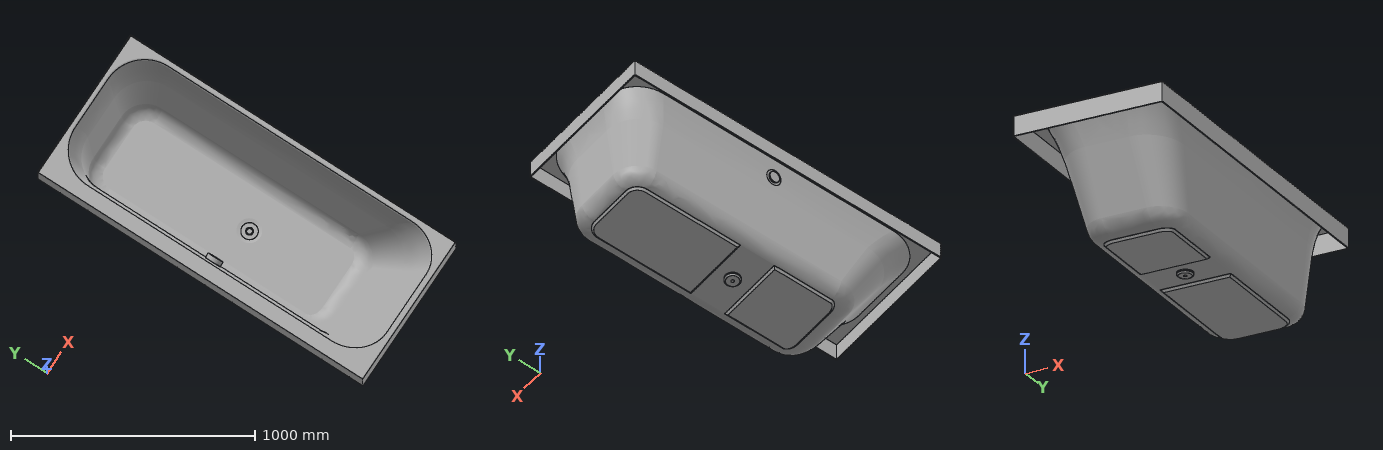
import cadquery as cq
import math

RIM_WIDTH = 701.0
RIM_LENGTH = 1600.0
TOP_Z = 480.0
RIM_HEIGHT = 96.0
RIM_ROUND = 8.0
LIP_ROUND = 13.0
SHELL = 5.0

BASIN_X = 21.0
FLOOR_Z = 16.0
BOWL_TOP_Z = 67.0
FLARE_Z = 328.0

SIDE_WALL = (224.0, 7.6, 20.0)
HEAD_WALL = (696.0, 6.8, 25.0)
FOOT_WALL = (517.0, 29.4, 20.0)

HEAD_CORNER_X = (120.0, 160.0, 176.0)
HEAD_CORNER_Y = (122.0, 162.0, 173.0)
FOOT_CORNER_X = (118.0, 155.0, 150.0)
FOOT_CORNER_Y = (130.0, 166.0, 166.0)

BOWL_SECTIONS = 7
FLARE_SECTIONS = 4

BOARD_BEVEL = 10.0
BOARD_GAP = 176.0
BOARD_THICKNESS = FLOOR_Z - SHELL

DRAIN_DIAMETER = 72.0
DRAIN_TOP_Z = 15.0
DRAIN_BEVEL = 6.0
SINK_DIAMETER = 105.0
SINK_BOTTOM_DIAMETER = 80.0
SINK_DEPTH = 2.0
SCREW_RECESS_DIAMETER = 32.0
SCREW_RECESS_DEPTH = 6.0
SCREW_HEAD_DIAMETER = 24.0
SCREW_HEAD_HEIGHT = 5.0
SCREW_SHANK_DIAMETER = 14.5

OVERFLOW_Z = 402.0
OVERFLOW_TILT = 14.0
CAP_DIAMETER = 72.0
CAP_HEIGHT = 21.0
CAP_SEAT = 2.0
TAIL_DIAMETER = 51.0
TAIL_LENGTH = 10.0


def wall_reach(wall, z, grow):
    """Distance from the basin axis to a wall at height z, with the surface grown outward."""
    reach_at_bowl_top, lean, flare = wall
    lean = math.radians(lean)
    reach = reach_at_bowl_top + grow + (z - BOWL_TOP_Z) * math.tan(lean)
    if z < BOWL_TOP_Z:
        floor_z = FLOOR_Z - grow
        radius = (BOWL_TOP_Z - floor_z) / (1 - math.sin(lean))
        run = math.sqrt(radius ** 2 - (radius - (z - floor_z)) ** 2)
        reach = reach_at_bowl_top + grow - radius * math.cos(lean) + run
    elif z > FLARE_Z:
        reach += flare * ((z - FLARE_Z) / (TOP_Z - FLARE_Z)) ** 2
    return reach


def corner_axis(corner, wall, z, grow):
    """Half-axis of an outline corner at height z, measured along the reach of the given wall."""
    at_bowl_top, at_flare, at_top = corner
    if z < BOWL_TOP_Z:
        inset = wall_reach(wall, BOWL_TOP_Z, grow) - wall_reach(wall, z, grow)
        return at_bowl_top + grow - inset
    if z < FLARE_Z:
        share = (z - BOWL_TOP_Z) / (FLARE_Z - BOWL_TOP_Z)
        return at_bowl_top + (at_flare - at_bowl_top) * share + grow
    share = (z - FLARE_Z) / (TOP_Z - FLARE_Z)
    return at_flare + (at_top - at_flare) * share + grow


def quarter_ellipse(center, x_axis, y_axis, start_angle):
    """Quarter ellipse in a level plane, its axes along X and Y, running counter-clockwise."""
    along_x, along_y, along_z = cq.Vector(1, 0, 0), cq.Vector(0, 1, 0), cq.Vector(0, 0, 1)
    if x_axis >= y_axis:
        return cq.Edge.makeEllipse(
            x_axis, y_axis, center, along_z, along_x, start_angle, start_angle + 90
        )
    return cq.Edge.makeEllipse(
        y_axis, x_axis, center, along_z, along_y, start_angle - 90, start_angle
    )


def basin_outline(z, grow):
    """Closed wire of the basin at height z: a rectangle with quarter-ellipse corners."""
    side = wall_reach(SIDE_WALL, z, grow)
    head = wall_reach(HEAD_WALL, z, grow)
    foot = wall_reach(FOOT_WALL, z, grow)
    head_x = corner_axis(HEAD_CORNER_X, SIDE_WALL, z, grow)
    head_y = corner_axis(HEAD_CORNER_Y, HEAD_WALL, z, grow)
    foot_x = corner_axis(FOOT_CORNER_X, SIDE_WALL, z, grow)
    foot_y = corner_axis(FOOT_CORNER_Y, FOOT_WALL, z, grow)

    left, right = BASIN_X - side, BASIN_X + side
    corners = [
        quarter_ellipse(cq.Vector(right - head_x, head - head_y, z), head_x, head_y, 0),
        quarter_ellipse(cq.Vector(left + head_x, head - head_y, z), head_x, head_y, 90),
        quarter_ellipse(cq.Vector(left + foot_x, foot_y - foot, z), foot_x, foot_y, 180),
        quarter_ellipse(cq.Vector(right - foot_x, foot_y - foot, z), foot_x, foot_y, 270),
    ]
    edges = []
    for corner, following in zip(corners, corners[1:] + corners[:1]):
        edges.append(corner)
        edges.append(cq.Edge.makeLine(corner.endPoint(), following.startPoint()))
    return cq.Wire.assembleEdges(edges)


def basin_solid(grow):
    """Solid inside the basin surface: rounded bowl, flat walls and flare."""
    floor_z = FLOOR_Z - grow
    bowl_steps = [math.radians(90 * i / (BOWL_SECTIONS - 1)) for i in range(BOWL_SECTIONS)]
    bowl_levels = [floor_z + (BOWL_TOP_Z - floor_z) * (1 - math.cos(a)) for a in bowl_steps]
    flare_step = (TOP_Z - FLARE_Z) / (FLARE_SECTIONS - 1)
    flare_levels = [FLARE_Z + i * flare_step for i in range(FLARE_SECTIONS)]

    bowl = cq.Solid.makeLoft([basin_outline(z, grow) for z in bowl_levels])
    walls = cq.Solid.makeLoft([basin_outline(z, grow) for z in (BOWL_TOP_Z, FLARE_Z)], True)
    flare = cq.Solid.makeLoft([basin_outline(z, grow) for z in flare_levels])
    return cq.Workplane(bowl).union(cq.Workplane(walls)).union(cq.Workplane(flare))


def rim_solid():
    """Rim deck with a thin skirt, open underneath."""
    block = (
        cq.Workplane("XY")
        .workplane(offset=TOP_Z - RIM_HEIGHT)
        .rect(RIM_WIDTH, RIM_LENGTH)
        .extrude(RIM_HEIGHT)
        .edges("|Z or >Z")
        .fillet(RIM_ROUND)
    )
    hollow = (
        cq.Workplane("XY")
        .workplane(offset=TOP_Z - RIM_HEIGHT)
        .rect(RIM_WIDTH - 2 * SHELL, RIM_LENGTH - 2 * SHELL)
        .extrude(RIM_HEIGHT - SHELL)
    )
    return block.cut(hollow)


def disc(diameter, bottom_z, top_z):
    """Upright cylinder on the drain axis."""
    return (
        cq.Workplane("XY", origin=(BASIN_X, 0, bottom_z))
        .circle(diameter / 2)
        .extrude(top_z - bottom_z)
    )


def sink_cone():
    """Shallow cone sunk into the floor around the drain."""
    return (
        cq.Workplane("XY", origin=(BASIN_X, 0, FLOOR_Z))
        .circle(SINK_DIAMETER / 2)
        .workplane(offset=-SINK_DEPTH)
        .circle(SINK_BOTTOM_DIAMETER / 2)
        .loft()
    )


def overflow_body():
    """Overflow cap inside the left wall, with a short tail through the wall."""
    tilt = math.radians(OVERFLOW_TILT)
    wall_x = BASIN_X - wall_reach(SIDE_WALL, OVERFLOW_Z, 0)
    axis_plane = cq.Plane(
        origin=(wall_x, 0, OVERFLOW_Z),
        xDir=(0, 1, 0),
        normal=(math.cos(tilt), 0, math.sin(tilt)),
    )
    cap = (
        cq.Workplane(axis_plane)
        .workplane(offset=-CAP_SEAT)
        .circle(CAP_DIAMETER / 2)
        .extrude(CAP_SEAT + CAP_HEIGHT)
    )
    tail = cq.Workplane(axis_plane).circle(TAIL_DIAMETER / 2).extrude(-TAIL_LENGTH)
    return cap.union(tail)


def tub_body(overflow):
    """Rim and basin shell, opened for the drain and the overflow."""
    tub = rim_solid().union(basin_solid(SHELL)).cut(basin_solid(0))
    lip = tub.faces(">Z").wires(cq.selectors.LengthNthSelector(0)).edges()
    tub = lip.fillet(LIP_ROUND)
    tub = tub.cut(sink_cone()).cut(disc(DRAIN_DIAMETER, 0, FLOOR_Z))
    return tub.cut(overflow)


def support_boards():
    """Two bevelled boards under the flat of the floor, one on each side of the drain."""
    underside_z = FLOOR_Z - SHELL
    floor_flat = cq.Face.makeFromWires(basin_outline(underside_z, SHELL))
    blank = cq.Workplane(cq.Solid.extrudeLinear(floor_flat, cq.Vector(0, 0, -BOARD_THICKNESS)))
    boards = []
    for end in (1, -1):
        half = (
            cq.Workplane("XY", origin=(0, end * (BOARD_GAP + RIM_LENGTH) / 2, 0))
            .rect(2 * RIM_WIDTH, RIM_LENGTH)
            .extrude(underside_z)
        )
        board = blank.intersect(half).faces("<Z").chamfer(BOARD_BEVEL)
        boards.append(board.val())
    return boards


def drain_body():
    """Drain disc with a recess and a hole for its screw."""
    disc_body = disc(DRAIN_DIAMETER, 0, DRAIN_TOP_Z).faces("<Z").chamfer(DRAIN_BEVEL)
    recess = disc(SCREW_RECESS_DIAMETER, DRAIN_TOP_Z - SCREW_RECESS_DEPTH, DRAIN_TOP_Z)
    hole = disc(SCREW_SHANK_DIAMETER, 0, DRAIN_TOP_Z)
    return disc_body.cut(recess).cut(hole)


def drain_screw():
    """Screw whose head rests on the recess of the drain."""
    seat_z = DRAIN_TOP_Z - SCREW_RECESS_DEPTH
    head = disc(SCREW_HEAD_DIAMETER, seat_z, seat_z + SCREW_HEAD_HEIGHT)
    return head.union(disc(SCREW_SHANK_DIAMETER, 0, seat_z))


overflow = overflow_body()
tub = tub_body(overflow)
boards = support_boards()
drain = drain_body()
screw = drain_screw()

result = cq.Compound.makeCompound([tub.val(), *boards, drain.val(), screw.val(), overflow.val()])